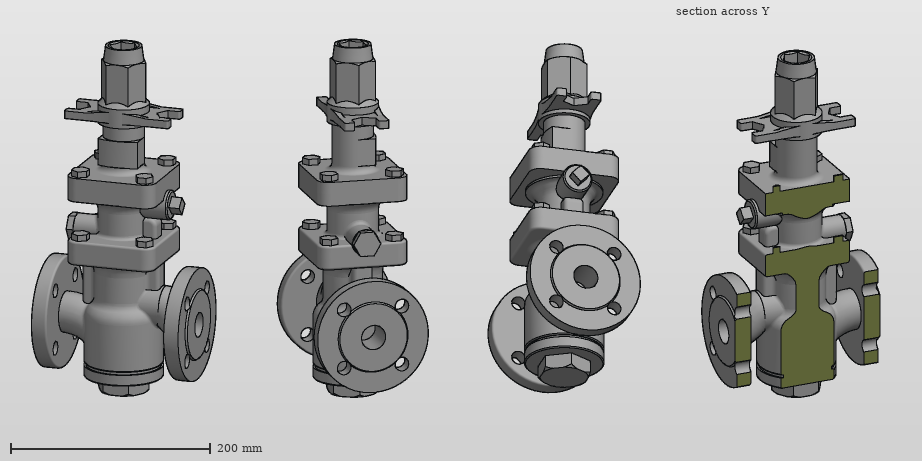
import cadquery as cq
import math

FACE_TO_FACE = 160.0
PIPE_FLANGE_DIA = 115.0
PIPE_FLANGE_THICKNESS = 16.0
PIPE_FLANGE_EDGE_RADIUS = 2.2
RAISED_FACE_DIA = 70.0
RAISED_FACE_HEIGHT = 2.0
RAISED_FACE_FLARE = 1.3
BOLT_CIRCLE_DIA = 85.0
BOLT_HOLE_DIA = 14.0
BOLT_HOLE_COUNT = 4
FIRST_HOLE_ANGLE = 45.0
BORE_DIA = 25.0
BORE_DEPTH = 40.0
PIPE_DIA = 42.0
FLANGE_BACK_X = FACE_TO_FACE / 2 - RAISED_FACE_HEIGHT - PIPE_FLANGE_THICKNESS
PIPE_START_X = FLANGE_BACK_X + PIPE_FLANGE_THICKNESS

INLET_BEND_RADIUS = 56.0
INLET_BEND_ANGLE = math.radians(45)
OUTLET_ANGLE = 47.0
OUTLET_UPPER_RADIUS = 14.0
OUTLET_LOWER_RADIUS = 36.0
OUTLET_STUB_LENGTH = 2.6

PLUG_BOTTOM_Z = -75.5
CAP_BOTTOM_Z = -60.6
CAP_TOP_Z = -49.0
BARREL_BOTTOM_Z = -45.0
BARREL_TOP_Z = 2.4
BARREL_RADIUS = 40.0
GROOVE_RADIUS = 38.0
EDGE_CHAMFER = 1.2
SHOULDER_HEIGHT = 20.0
WAIST_RADIUS = 30.0
SHOULDER_SPLIT = 0.6
FLARE_BOTTOM_Z = 49.0
FLARE_TURN = math.radians(38)
FLARE_SPLIT_Z = 62.0
INLET_ROOT_FILLET = 4.0
OUTLET_ROOT_FILLET = 3.0
PLUG_FLATS = 47.0
PLUG_CHAMFER = 3.0

SQUARE_SIDE = 93.0
SQUARE_CORNER_RADIUS = 12.0
PLATE_THICKNESS = 12.3
LOWER_JOINT_Z = 75.8
UPPER_JOINT_Z = 142.3
LOWER_EDGE_RADIUS = 2.4
BOLT_OFFSET = 34.0
BOLT_FLATS = 16.0
BOLT_HEAD_HEIGHT = 6.2
LOWER_FLANGE_BOTTOM_Z = LOWER_JOINT_Z - PLATE_THICKNESS
LOWER_FLANGE_TOP_Z = LOWER_JOINT_Z + PLATE_THICKNESS
UPPER_FLANGE_BOTTOM_Z = UPPER_JOINT_Z - PLATE_THICKNESS
UPPER_FLANGE_TOP_Z = UPPER_JOINT_Z + PLATE_THICKNESS

RIB_OUTER_X = 41.0
RIB_HALF_WIDTH = 10.0
RIB_CORNER_RADIUS = 4.0
RIB_ROOT_FILLET = 5.0
RIB_TOP_FILLET = 2.4
INLET_RIB_BOTTOM_Z = 12.0
OUTLET_RIB_BOTTOM_Z = 30.0

MIDDLE_RADIUS = 26.0
MIDDLE_BASE_FILLET = 4.0
SPIGOT_RADIUS = 39.0
SPIGOT_HEIGHT = 2.2
MIDDLE_FLARE_RADIUS = 12.0
MIDDLE_CONE_TOP_Z = 125.5
MIDDLE_FLARE_START_Z = 114.4

LEFT_PORT_Z = 90.6
LEFT_PORT_DIA = 27.0
LEFT_PORT_END_X = 49.2
LEFT_PORT_FILLET = 4.0
LEFT_PLUG_FLATS = 24.5
LEFT_PLUG_LENGTH = 7.2
RIGHT_PORT_Z = 122.3
RIGHT_PORT_DIA = 30.0
RIGHT_PORT_END_X = 51.0
RIGHT_PORT_EDGE = 1.5
RIGHT_PLUG_DIAGONAL = 18.0
RIGHT_PLUG_LENGTH = 11.0
WEB_OUTER_X = 38.0
WEB_HALF_WIDTH = 10.0
WEB_TOP_Z = 108.5
WEB_TOP_RADIUS = 8.0
WEB_EDGE_RADIUS = 4.0

HOUSING_RADIUS = 21.0
HOUSING_BASE_FILLET = 7.0
NAMEPLATE_BOTTOM_Z = 162.5
NAMEPLATE_TOP_Z = 190.0
NAMEPLATE_EDGE_Y = 18.0
NAMEPLATE_FRONT_Y = 22.3
COLLAR_RADIUS = 26.0
COLLAR_BOTTOM_Z = 204.8
COLLAR_TOP_Z = 224.5
HANDLE_BOTTOM_Z = 208.9
HANDLE_TOP_Z = 217.0
HANDLE_END_X = 55.3
HANDLE_HALF_WIDTH = 23.0
HANDLE_ROOT_X = 7.0
HANDLE_ROOT_HALF_WIDTH = 25.0
HANDLE_TAPER_X = 32.0
NOTCH_HALF_WIDTH = 12.6
NOTCH_MOUTH_X = 42.7
NOTCH_TIP_X = 35.3
HANDLE_CORNER_RADIUS = 2.0
WEDGE_INNER_Y = 17.0
WEDGE_RISE = 3.6

CAP_NUT_FLATS = 41.0
CAP_NUT_TOP_Z = 269.5
CAP_NUT_CHAMFER_HEIGHT = 1.8
TIP_TOP_Z = 284.5
TIP_TOP_RADIUS = 18.4
TIP_BOTTOM_RADIUS = 20.4
SOCKET_FLATS = 25.0
SOCKET_MOUTH_RADIUS = 15.6
SOCKET_MOUTH_DEPTH = 1.2
SOCKET_DEPTH = 14.0

MARGIN = 1.0


def corner_diameter(flats):
    return 2 * flats / math.sqrt(3)


def cylinder_z(radius, bottom, top):
    return cq.Workplane("XY").workplane(offset=bottom).circle(radius).extrude(top - bottom)


def hex_prism_z(flats, bottom, top):
    """Hexagonal prism about Z with two corners on the X axis."""
    sketch = cq.Workplane("XY").workplane(offset=bottom)
    return sketch.polygon(6, corner_diameter(flats)).extrude(top - bottom)


def cone_z(bottom_radius, bottom, top_radius, top):
    profile = [(0, bottom), (bottom_radius, bottom), (top_radius, top), (0, top)]
    return cq.Workplane("XZ").polyline(profile).close().revolve(360, (0, 0), (0, 1))


def pipe_flange(side):
    """Round flange with raised face; side is -1 for the inlet and +1 for the outlet."""
    disc = cq.Workplane("YZ").workplane(offset=FLANGE_BACK_X)
    disc = disc.circle(PIPE_FLANGE_DIA / 2).extrude(PIPE_FLANGE_THICKNESS)
    disc = disc.faces("<X").edges().fillet(PIPE_FLANGE_EDGE_RADIUS)
    face_radius = RAISED_FACE_DIA / 2
    raised = cq.Workplane("YZ").workplane(offset=FLANGE_BACK_X + PIPE_FLANGE_THICKNESS)
    flare_angle = math.degrees(math.atan2(RAISED_FACE_FLARE, RAISED_FACE_HEIGHT))
    raised = raised.circle(face_radius + RAISED_FACE_FLARE).extrude(RAISED_FACE_HEIGHT, taper=flare_angle)
    holes = cq.Workplane("YZ").workplane(offset=FLANGE_BACK_X)
    holes = holes.polarArray(BOLT_CIRCLE_DIA / 2, FIRST_HOLE_ANGLE, 360, BOLT_HOLE_COUNT)
    holes = holes.circle(BOLT_HOLE_DIA / 2).extrude(PIPE_FLANGE_THICKNESS + RAISED_FACE_HEIGHT)
    flange = disc.union(raised).cut(holes)
    return flange if side > 0 else flange.mirror("YZ")


def pipe_bore(side):
    bore = cq.Workplane("YZ").workplane(offset=side * FACE_TO_FACE / 2)
    return bore.circle(BORE_DIA / 2).extrude(-side * BORE_DEPTH)


def inlet_pipe():
    """Pipe that leaves the inlet flange level and bends down into the barrel."""
    half = INLET_BEND_ANGLE / 2

    def bend_point(angle):
        x = -FLANGE_BACK_X + INLET_BEND_RADIUS * math.sin(angle)
        z = -INLET_BEND_RADIUS * (1 - math.cos(angle))
        return x, z

    path = cq.Workplane("XZ").moveTo(-PIPE_START_X, 0).lineTo(-FLANGE_BACK_X, 0)
    path = path.threePointArc(bend_point(half), bend_point(2 * half))
    section = cq.Workplane("YZ").workplane(offset=-PIPE_START_X).circle(PIPE_DIA / 2)
    return section.sweep(path)


def outlet_upper_centre():
    """X and Z of the bend axis of the tight upper outlet bend."""
    turn = math.radians(OUTLET_ANGLE)
    run = (OUTLET_LOWER_RADIUS + OUTLET_UPPER_RADIUS) * math.sin(turn)
    rise = OUTLET_LOWER_RADIUS * (1 - math.cos(turn)) - OUTLET_UPPER_RADIUS * math.cos(turn)
    return PIPE_START_X - run, rise


def outlet_level_pipe():
    """Level stretch of the outlet pipe that enters the waist, longer than its visible part."""
    bend_z = outlet_upper_centre()[1]
    level = cq.Workplane("YZ", origin=(0, 0, bend_z + OUTLET_UPPER_RADIUS))
    return level.circle(PIPE_DIA / 2).extrude(FLANGE_BACK_X)


def outlet_bends():
    """The two bends between the outlet flange and the level stretch.

    The upper bend is tighter than the pipe radius, so its section is cut off at the bend axis.
    """
    turn = math.radians(OUTLET_ANGLE)
    bend_x, bend_z = outlet_upper_centre()
    joint_z = OUTLET_LOWER_RADIUS * (1 - math.cos(turn))
    joint_x = PIPE_START_X - OUTLET_LOWER_RADIUS * math.sin(turn)
    path = cq.Workplane("XZ").moveTo(PIPE_START_X, 0)
    path = path.radiusArc((joint_x, joint_z), OUTLET_LOWER_RADIUS)
    lower_bend = cq.Workplane("YZ").workplane(offset=PIPE_START_X).circle(PIPE_DIA / 2).sweep(path)

    pipe_radius = PIPE_DIA / 2
    half_chord = math.sqrt(pipe_radius ** 2 - OUTLET_UPPER_RADIUS ** 2)
    upper_bend = cq.Workplane("YZ", origin=(bend_x, 0, bend_z)).moveTo(-half_chord, 0)
    upper_bend = upper_bend.threePointArc((0, OUTLET_UPPER_RADIUS + pipe_radius), (half_chord, 0)).close()
    upper_bend = upper_bend.revolve(OUTLET_ANGLE, (0, 0), (1, 0))
    return lower_bend.union(upper_bend)


def blended_body():
    """Main body with both pipes blended into it by root fillets."""
    middle_x = BARREL_RADIUS / 3
    reach_x = BARREL_RADIUS + PIPE_DIA / 4
    low_z = BARREL_BOTTOM_Z + MARGIN
    high_z = FLARE_BOTTOM_Z
    inlet_root = cq.selectors.BoxSelector(
        (-reach_x, -PIPE_DIA, low_z), (-middle_x, PIPE_DIA, high_z), boundingbox=True
    )
    outlet_root = cq.selectors.BoxSelector(
        (middle_x, -PIPE_DIA, low_z), (reach_x, PIPE_DIA, high_z), boundingbox=True
    )
    body = main_body().union(inlet_pipe()).edges(inlet_root).fillet(INLET_ROOT_FILLET)
    body = body.union(outlet_level_pipe()).edges(outlet_root).fillet(OUTLET_ROOT_FILLET)
    stub_end_x = outlet_upper_centre()[0] + OUTLET_STUB_LENGTH
    excess = cq.Workplane("YZ").workplane(offset=stub_end_x).rect(FACE_TO_FACE, FACE_TO_FACE)
    body = body.cut(excess.extrude(FACE_TO_FACE))
    return body.union(outlet_bends())


def main_body():
    """Revolved bottom cap, barrel, shoulder, waist and flare below the lower flange."""
    waist_bottom_z = BARREL_TOP_Z + SHOULDER_HEIGHT
    step = BARREL_RADIUS - WAIST_RADIUS
    radius_sum = (SHOULDER_HEIGHT ** 2 + step ** 2) / (2 * step)
    lower_arc = SHOULDER_SPLIT * radius_sum
    upper_arc = radius_sum - lower_arc
    split_radius = BARREL_RADIUS - SHOULDER_SPLIT * step
    split_z = BARREL_TOP_Z + SHOULDER_SPLIT * SHOULDER_HEIGHT
    flare_arc = (FLARE_SPLIT_Z - FLARE_BOTTOM_Z) / math.sin(FLARE_TURN)
    flare_split_radius = WAIST_RADIUS + flare_arc * (1 - math.cos(FLARE_TURN))
    top_arc = (LOWER_FLANGE_BOTTOM_Z - FLARE_SPLIT_Z) / (1 - math.sin(FLARE_TURN))
    top_radius = flare_split_radius + top_arc * math.cos(FLARE_TURN)
    profile = (
        cq.Workplane("XZ")
        .moveTo(0, CAP_BOTTOM_Z)
        .lineTo(BARREL_RADIUS - EDGE_CHAMFER, CAP_BOTTOM_Z)
        .lineTo(BARREL_RADIUS, CAP_BOTTOM_Z + EDGE_CHAMFER)
        .lineTo(BARREL_RADIUS, CAP_TOP_Z)
        .lineTo(GROOVE_RADIUS, CAP_TOP_Z)
        .lineTo(GROOVE_RADIUS, BARREL_BOTTOM_Z - EDGE_CHAMFER)
        .lineTo(BARREL_RADIUS - EDGE_CHAMFER, BARREL_BOTTOM_Z - EDGE_CHAMFER)
        .lineTo(BARREL_RADIUS, BARREL_BOTTOM_Z)
        .lineTo(BARREL_RADIUS, BARREL_TOP_Z)
        .radiusArc((split_radius, split_z), -lower_arc)
        .radiusArc((WAIST_RADIUS, waist_bottom_z), upper_arc)
        .lineTo(WAIST_RADIUS, FLARE_BOTTOM_Z)
        .radiusArc((flare_split_radius, FLARE_SPLIT_Z), flare_arc)
        .radiusArc((top_radius, LOWER_FLANGE_BOTTOM_Z), top_arc)
        .lineTo(0, LOWER_FLANGE_BOTTOM_Z)
        .close()
    )
    return profile.revolve(360, (0, 0), (0, 1))


def bottom_plug():
    """Hexagonal plug under the cap, bevelled at its lower corners."""
    plug = hex_prism_z(PLUG_FLATS, PLUG_BOTTOM_Z, CAP_BOTTOM_Z)
    corner = corner_diameter(PLUG_FLATS) / 2
    chamfer_top = PLUG_BOTTOM_Z + PLUG_CHAMFER
    bevel = cone_z(corner - PLUG_CHAMFER, PLUG_BOTTOM_Z, corner, chamfer_top)
    bevel = bevel.union(cylinder_z(corner, chamfer_top, CAP_BOTTOM_Z))
    return plug.intersect(bevel)


def square_plates(joint_z):
    """Two bolted square plates that meet at joint_z, returned as lower and upper plate."""
    plates = []
    for thickness in (-PLATE_THICKNESS, PLATE_THICKNESS):
        plate = cq.Workplane("XY").workplane(offset=joint_z).rect(SQUARE_SIDE, SQUARE_SIDE)
        plate = plate.extrude(thickness).edges("|Z").fillet(SQUARE_CORNER_RADIUS)
        plates.append(plate)
    return plates


def bolt_heads(bottom):
    """Four hexagon heads, each turned a quarter turn from its neighbour."""
    head = hex_prism_z(BOLT_FLATS, bottom, bottom + BOLT_HEAD_HEIGHT)
    head = head.translate((-BOLT_OFFSET, BOLT_OFFSET, 0))
    heads = head
    for quarter in (1, 2, 3):
        heads = heads.union(head.rotate((0, 0, 0), (0, 0, 1), 90 * quarter))
    return heads


def passage_rib(side, bottom):
    """Upright rib whose flanks run into the cylindrical waist through root fillets."""
    root_centre_y = RIB_HALF_WIDTH + RIB_ROOT_FILLET
    root_centre_x = math.sqrt((WAIST_RADIUS + RIB_ROOT_FILLET) ** 2 - root_centre_y ** 2)
    shrink = WAIST_RADIUS / (WAIST_RADIUS + RIB_ROOT_FILLET)
    root_x = shrink * root_centre_x
    root_y = shrink * root_centre_y
    flat_half_width = RIB_HALF_WIDTH - RIB_CORNER_RADIUS
    flank_end_x = RIB_OUTER_X - RIB_CORNER_RADIUS
    rib = (
        cq.Workplane("XY")
        .workplane(offset=bottom)
        .moveTo(0, -root_y)
        .lineTo(root_x, -root_y)
        .radiusArc((root_centre_x, -RIB_HALF_WIDTH), RIB_ROOT_FILLET)
        .lineTo(flank_end_x, -RIB_HALF_WIDTH)
        .radiusArc((RIB_OUTER_X, -flat_half_width), -RIB_CORNER_RADIUS)
        .lineTo(RIB_OUTER_X, flat_half_width)
        .radiusArc((flank_end_x, RIB_HALF_WIDTH), -RIB_CORNER_RADIUS)
        .lineTo(root_centre_x, RIB_HALF_WIDTH)
        .radiusArc((root_x, root_y), RIB_ROOT_FILLET)
        .lineTo(0, root_y)
        .close()
        .extrude(LOWER_FLANGE_BOTTOM_Z - bottom)
    )
    return rib if side > 0 else rib.mirror("YZ")


def ribbed_plate(plate):
    """Lower square plate with both ribs hanging from it through small fillets."""
    for side, bottom in ((-1, INLET_RIB_BOTTOM_Z), (1, OUTLET_RIB_BOTTOM_Z)):
        plate = plate.union(passage_rib(side, bottom))
        x_limits = sorted((side * (RIB_OUTER_X - 2 * RIB_CORNER_RADIUS), side * (RIB_OUTER_X + MARGIN)))
        rib_top = cq.selectors.BoxSelector(
            (x_limits[0], -SQUARE_SIDE / 4, LOWER_FLANGE_BOTTOM_Z - MARGIN),
            (x_limits[1], SQUARE_SIDE / 4, LOWER_FLANGE_BOTTOM_Z + MARGIN),
        )
        plate = plate.edges(rib_top).edges("#Z").fillet(RIB_TOP_FILLET)
    return plate


def middle_section():
    """Cylinder between the square flanges with a flared top and a round spigot."""
    spigot_bottom = UPPER_FLANGE_BOTTOM_Z - SPIGOT_HEIGHT
    arc_end_radius = MIDDLE_RADIUS + MIDDLE_FLARE_RADIUS * (1 - math.cos(FLARE_TURN))
    arc_end_z = MIDDLE_FLARE_START_Z + MIDDLE_FLARE_RADIUS * math.sin(FLARE_TURN)
    cone_top_radius = arc_end_radius + (MIDDLE_CONE_TOP_Z - arc_end_z) * math.tan(FLARE_TURN)
    top_arc = (spigot_bottom - MIDDLE_CONE_TOP_Z) / (1 - math.sin(FLARE_TURN))
    top_radius = cone_top_radius + top_arc * math.cos(FLARE_TURN)
    fillet_top_z = LOWER_FLANGE_TOP_Z + MIDDLE_BASE_FILLET
    profile = (
        cq.Workplane("XZ")
        .moveTo(0, LOWER_FLANGE_TOP_Z)
        .lineTo(MIDDLE_RADIUS + MIDDLE_BASE_FILLET, LOWER_FLANGE_TOP_Z)
        .radiusArc((MIDDLE_RADIUS, fillet_top_z), MIDDLE_BASE_FILLET)
        .lineTo(MIDDLE_RADIUS, MIDDLE_FLARE_START_Z)
        .radiusArc((arc_end_radius, arc_end_z), MIDDLE_FLARE_RADIUS)
        .lineTo(cone_top_radius, MIDDLE_CONE_TOP_Z)
        .radiusArc((top_radius, spigot_bottom), top_arc)
        .lineTo(SPIGOT_RADIUS, spigot_bottom)
        .lineTo(SPIGOT_RADIUS, UPPER_FLANGE_BOTTOM_Z)
        .lineTo(0, UPPER_FLANGE_BOTTOM_Z)
        .close()
    )
    return profile.revolve(360, (0, 0), (0, 1))


def left_port():
    """Boss toward -X, blended into the middle cylinder."""
    boss = cq.Workplane("YZ", origin=(0, 0, LEFT_PORT_Z)).circle(LEFT_PORT_DIA / 2)
    boss = boss.extrude(-LEFT_PORT_END_X)
    core = cylinder_z(MIDDLE_RADIUS, LOWER_FLANGE_BOTTOM_Z, MIDDLE_FLARE_START_Z)
    blend_edge = cq.selectors.BoxSelector(
        (-MIDDLE_RADIUS - MARGIN, -LEFT_PORT_DIA, LOWER_FLANGE_BOTTOM_Z + MARGIN),
        (-MARGIN, LEFT_PORT_DIA, MIDDLE_FLARE_START_Z - MARGIN),
        boundingbox=True,
    )
    return core.union(boss).edges(blend_edge).fillet(LEFT_PORT_FILLET)


def left_plug():
    sketch = cq.Workplane("YZ", origin=(-LEFT_PORT_END_X, 0, LEFT_PORT_Z))
    return sketch.polygon(6, corner_diameter(LEFT_PLUG_FLATS)).extrude(-LEFT_PLUG_LENGTH)


def right_port():
    centre = (0, 0, RIGHT_PORT_Z)
    boss = cq.Workplane("YZ", origin=centre).circle(RIGHT_PORT_DIA / 2).extrude(RIGHT_PORT_END_X)
    boss = boss.faces(">X").chamfer(RIGHT_PORT_EDGE)
    plug = cq.Workplane("YZ", origin=(RIGHT_PORT_END_X, 0, RIGHT_PORT_Z))
    plug = plug.polygon(4, RIGHT_PLUG_DIAGONAL).extrude(RIGHT_PLUG_LENGTH)
    return boss.union(plug)


def right_web():
    """Rounded web between the lower flange and the right port."""
    height = WEB_TOP_Z - LOWER_JOINT_Z
    web = cq.Workplane("XY").box(WEB_OUTER_X, 2 * WEB_HALF_WIDTH, height, centered=(False, True, False))
    web = web.edges(">X and >Z").fillet(WEB_TOP_RADIUS)
    web = web.edges("|Z and >X").fillet(WEB_EDGE_RADIUS)
    return web.translate((0, 0, LOWER_JOINT_Z))


def spring_housing():
    """Spring tube with its filleted foot, the collar and the 45 degree cone under the cap nut."""
    fillet_top_z = UPPER_FLANGE_TOP_Z + HOUSING_BASE_FILLET
    cone_top_z = COLLAR_TOP_Z + COLLAR_RADIUS - CAP_NUT_FLATS / 2
    profile = (
        cq.Workplane("XZ")
        .moveTo(0, UPPER_FLANGE_TOP_Z)
        .lineTo(HOUSING_RADIUS + HOUSING_BASE_FILLET, UPPER_FLANGE_TOP_Z)
        .radiusArc((HOUSING_RADIUS, fillet_top_z), HOUSING_BASE_FILLET)
        .lineTo(HOUSING_RADIUS, COLLAR_BOTTOM_Z)
        .lineTo(COLLAR_RADIUS, COLLAR_BOTTOM_Z)
        .lineTo(COLLAR_RADIUS, COLLAR_TOP_Z)
        .lineTo(CAP_NUT_FLATS / 2, cone_top_z)
        .lineTo(0, cone_top_z)
        .close()
    )
    return profile.revolve(360, (0, 0), (0, 1))


def nameplate():
    """Pad with a slightly curved face on the -Y side of the spring housing."""
    pad = (
        cq.Workplane("XY")
        .workplane(offset=NAMEPLATE_BOTTOM_Z)
        .moveTo(-HOUSING_RADIUS, 0)
        .lineTo(-HOUSING_RADIUS, -NAMEPLATE_EDGE_Y)
        .threePointArc((0, -NAMEPLATE_FRONT_Y), (HOUSING_RADIUS, -NAMEPLATE_EDGE_Y))
        .lineTo(HOUSING_RADIUS, 0)
        .close()
    )
    return pad.extrude(NAMEPLATE_TOP_Z - NAMEPLATE_BOTTOM_Z)


def handle_arm():
    """Forked +X arm of the handle; wedge-shaped stiffeners run along both flanks."""
    taper_run = HANDLE_TAPER_X - HANDLE_ROOT_X
    taper_width = HANDLE_ROOT_HALF_WIDTH - HANDLE_HALF_WIDTH
    flank_radius = (taper_run ** 2 + taper_width ** 2) / (2 * taper_width)
    arm = (
        cq.Workplane("XY")
        .workplane(offset=HANDLE_BOTTOM_Z)
        .moveTo(0, -HANDLE_ROOT_HALF_WIDTH)
        .lineTo(HANDLE_ROOT_X, -HANDLE_ROOT_HALF_WIDTH)
        .radiusArc((HANDLE_TAPER_X, -HANDLE_HALF_WIDTH), flank_radius)
        .lineTo(HANDLE_END_X, -HANDLE_HALF_WIDTH)
        .lineTo(HANDLE_END_X, -NOTCH_HALF_WIDTH)
        .lineTo(NOTCH_MOUTH_X, -NOTCH_HALF_WIDTH)
        .lineTo(NOTCH_TIP_X, 0)
        .lineTo(NOTCH_MOUTH_X, NOTCH_HALF_WIDTH)
        .lineTo(HANDLE_END_X, NOTCH_HALF_WIDTH)
        .lineTo(HANDLE_END_X, HANDLE_HALF_WIDTH)
        .lineTo(HANDLE_TAPER_X, HANDLE_HALF_WIDTH)
        .radiusArc((HANDLE_ROOT_X, HANDLE_ROOT_HALF_WIDTH), flank_radius)
        .lineTo(0, HANDLE_ROOT_HALF_WIDTH)
        .close()
        .extrude(HANDLE_TOP_Z - HANDLE_BOTTOM_Z + WEDGE_RISE)
    )
    arm = arm.edges("|Z and >X").fillet(HANDLE_CORNER_RADIUS)

    top_z = HANDLE_TOP_Z + WEDGE_RISE
    above_slope = [
        (0, top_z),
        (HANDLE_ROOT_X, top_z),
        (HANDLE_TAPER_X, HANDLE_TOP_Z),
        (HANDLE_END_X, HANDLE_TOP_Z),
        (HANDLE_END_X, top_z + MARGIN),
        (0, top_z + MARGIN),
    ]
    above = cq.Workplane("XZ").polyline(above_slope).close().extrude(HANDLE_ROOT_HALF_WIDTH, both=True)
    gap = cq.Workplane("XY").workplane(offset=HANDLE_TOP_Z)
    gap = gap.rect(2 * HANDLE_END_X, 2 * WEDGE_INNER_Y).extrude(WEDGE_RISE)
    return arm.cut(above).cut(gap)


def cap_nut():
    """Hexagonal cap nut with a tapered tip and a hexagon socket."""
    nut = hex_prism_z(CAP_NUT_FLATS, COLLAR_TOP_Z, CAP_NUT_TOP_Z)
    corner = corner_diameter(CAP_NUT_FLATS) / 2
    chamfer_bottom = CAP_NUT_TOP_Z - CAP_NUT_CHAMFER_HEIGHT
    bevel = cone_z(corner, chamfer_bottom, TIP_BOTTOM_RADIUS, CAP_NUT_TOP_Z)
    nut = nut.intersect(bevel.union(cylinder_z(corner, COLLAR_TOP_Z, chamfer_bottom)))
    tip = cone_z(TIP_BOTTOM_RADIUS, CAP_NUT_TOP_Z, TIP_TOP_RADIUS, TIP_TOP_Z)
    floor_z = TIP_TOP_Z - SOCKET_DEPTH
    socket = hex_prism_z(SOCKET_FLATS, floor_z, TIP_TOP_Z)
    mouth = cone_z(SOCKET_FLATS / 2, TIP_TOP_Z - SOCKET_MOUTH_DEPTH, SOCKET_MOUTH_RADIUS, TIP_TOP_Z)
    return nut.union(tip).cut(socket).cut(mouth)


lower_plate, lower_cover = square_plates(LOWER_JOINT_Z)
lower_plate = lower_plate.faces("<Z").edges().fillet(LOWER_EDGE_RADIUS)
lower_cover = lower_cover.faces(">Z").edges().fillet(LOWER_EDGE_RADIUS)
upper_plate, upper_cover = square_plates(UPPER_JOINT_Z)

lower_valve = blended_body()
for piece in (
    bottom_plug(),
    ribbed_plate(lower_plate),
    pipe_flange(-1),
    pipe_flange(1),
):
    lower_valve = lower_valve.union(piece)
lower_valve = lower_valve.cut(pipe_bore(-1)).cut(pipe_bore(1))

result = lower_valve
for piece in (
    lower_cover,
    bolt_heads(LOWER_FLANGE_TOP_Z),
    middle_section(),
    left_port(),
    left_plug(),
    right_web(),
    right_port(),
    upper_plate,
    upper_cover,
    bolt_heads(UPPER_FLANGE_TOP_Z),
    spring_housing(),
    nameplate(),
    handle_arm(),
    handle_arm().mirror("YZ"),
    cap_nut(),
):
    result = result.union(piece, clean=False)